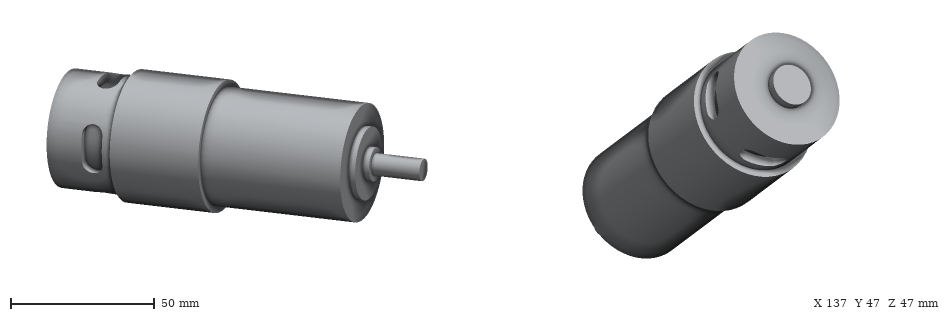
import cadquery as cq

overall_length = 137.0
cap_length = 3.8
rear_length = 24.7
sleeve_length = 33.2
front_length = 52.3
pilot_length = 2.5
boss_length = 2.5
shaft_length = overall_length - (
    cap_length + rear_length + sleeve_length + front_length + pilot_length + boss_length
)

cap_diameter = 15.0
body_diameter = 42.0
sleeve_diameter = 47.0
pilot_diameter = 26.0
boss_diameter = 12.0
shaft_diameter = 8.0

flat_length = 12.3
flat_depth = 0.3

slot_count = 4
slot_center_x = 20.7
slot_width = 7.7
slot_length = 18.0
slot_depth = 3.5


def stepped_body():
    """Stack coaxial cylinders along +X."""
    steps = [
        (cap_diameter, cap_length),
        (body_diameter, rear_length),
        (sleeve_diameter, sleeve_length),
        (body_diameter, front_length),
        (pilot_diameter, pilot_length),
        (boss_diameter, boss_length),
        (shaft_diameter, shaft_length),
    ]
    body = cq.Workplane("YZ").circle(cap_diameter / 2).extrude(cap_length)
    for diameter, length in steps[1:]:
        body = body.faces(">X").workplane().circle(diameter / 2).extrude(length)
    return body


def slot_cutter():
    """Rounded slot on the +Z side whose floor is concentric with the body."""
    prism = (
        cq.Workplane("XY")
        .center(slot_center_x, 0)
        .slot2D(slot_length, slot_width, 90)
        .extrude(body_diameter)
    )
    floor = cq.Workplane("YZ").circle(body_diameter / 2 - slot_depth).extrude(overall_length)
    return prism.cut(floor)


def shaft_flat_cutter():
    """Block that removes the flat at the free end of the shaft."""
    block = cq.Workplane("XY").box(
        flat_length, flat_depth, shaft_diameter, centered=(False, False, True)
    )
    return block.translate((overall_length - flat_length, shaft_diameter / 2 - flat_depth, 0))


result = stepped_body()
cutter = slot_cutter()
for index in range(slot_count):
    angle = index * 360 / slot_count
    result = result.cut(cutter.rotate((0, 0, 0), (1, 0, 0), angle))
result = result.cut(shaft_flat_cutter())